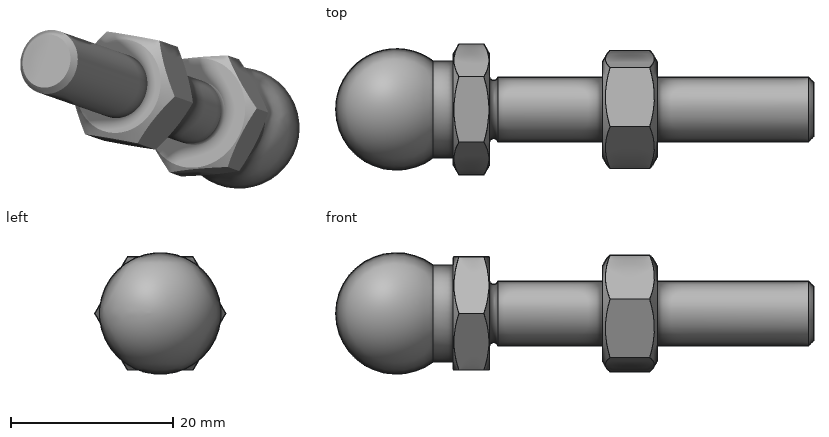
import cadquery as cq
import math

overall_length = 59.0

ball_radius = 7.5
neck_radius = 6.0
neck_start = ball_radius + math.sqrt(ball_radius**2 - neck_radius**2)

stud_hex_across_flats = 14.0
stud_hex_start = 14.5
stud_hex_length = 4.5
stud_hex_end = stud_hex_start + stud_hex_length
stud_hex_face_diameter = 13.7

shank_radius = 4.0
tip_radius = 6.65 / 2
tip_chamfer = shank_radius - tip_radius
undercut_width = 1.0
undercut_depth = 0.4
undercut_end = stud_hex_end + undercut_width

nut_across_flats = 13.0
nut_start = 32.9
nut_length = 6.8
nut_turn = -13.5
nut_face_diameter = 0.9 * nut_across_flats

corner_chamfer_angle = 30.0


def chamfered_hexagon(start, length, across_flats, face_diameter):
    """Hexagonal prism along X whose corners are turned down to a cone at both ends."""
    corner_radius = across_flats / 2 / math.cos(math.radians(30))
    face_radius = face_diameter / 2
    chamfer_length = (corner_radius - face_radius) * math.tan(math.radians(corner_chamfer_angle))
    end = start + length
    prism = (
        cq.Workplane("YZ", origin=(start, 0, 0))
        .polygon(6, 2 * corner_radius)
        .extrude(length)
    )
    turned_envelope = (
        cq.Workplane("XY")
        .moveTo(start, 0)
        .lineTo(start, face_radius)
        .lineTo(start + chamfer_length, corner_radius)
        .lineTo(end - chamfer_length, corner_radius)
        .lineTo(end, face_radius)
        .lineTo(end, 0)
        .close()
        .revolve(360, (0, 0, 0), (1, 0, 0))
    )
    return prism.intersect(turned_envelope)


def make_ball_stud():
    """Ball, neck, undercut and shank as one turned profile, joined to the hexagon."""
    turned = (
        cq.Workplane("XY")
        .moveTo(0, 0)
        .threePointArc((ball_radius, ball_radius), (neck_start, neck_radius))
        .lineTo(stud_hex_end, neck_radius)
        .lineTo(stud_hex_end, shank_radius)
        .threePointArc(
            (stud_hex_end + undercut_width / 2, shank_radius - undercut_depth),
            (undercut_end, shank_radius),
        )
        .lineTo(overall_length - tip_chamfer, shank_radius)
        .lineTo(overall_length, tip_radius)
        .lineTo(overall_length, 0)
        .close()
        .revolve(360, (0, 0, 0), (1, 0, 0))
    )
    hexagon = chamfered_hexagon(
        stud_hex_start, stud_hex_length, stud_hex_across_flats, stud_hex_face_diameter
    )
    return turned.union(hexagon)


def make_lock_nut():
    """Hexagon nut with a plain bore that fits the shank."""
    hexagon = chamfered_hexagon(nut_start, nut_length, nut_across_flats, nut_face_diameter)
    bore = cq.Workplane("YZ", origin=(nut_start, 0, 0)).circle(shank_radius).extrude(nut_length)
    return hexagon.cut(bore).rotate((0, 0, 0), (1, 0, 0), nut_turn)


ball_stud = make_ball_stud()
lock_nut = make_lock_nut()

result = cq.Compound.makeCompound([ball_stud.solids().val(), lock_nut.solids().val()])